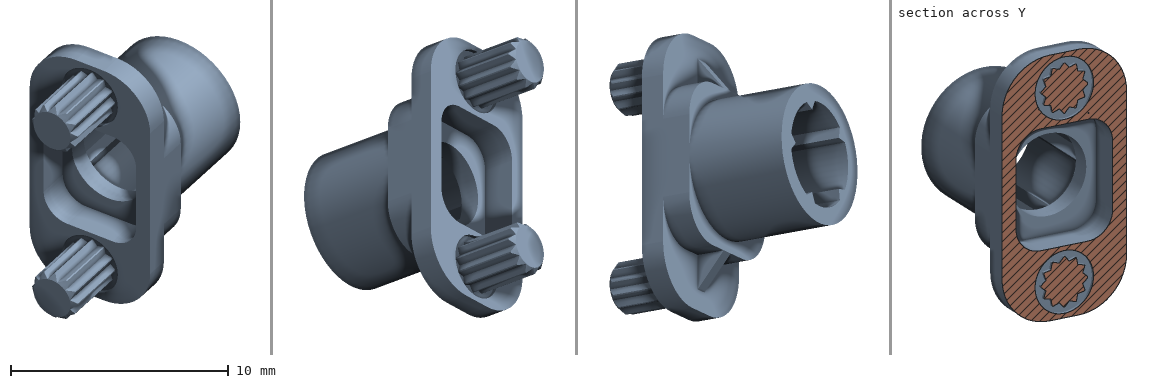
import cadquery as cq
import math

plate_width = 6.6
plate_height = 13.08
plate_thickness = 1.15
plate_corner_radius = 2.54

body_height = 7.77
body_thickness = 1.41
body_corner_radius = 2.01
body_back = plate_thickness + body_thickness

tube_diameter = plate_width
tube_length = 4.98
bore_diameter = 4.05
socket_radius = 2.49
ridge_tip_radius = 2.08
ridge_count = 5

pocket_width = 5.08
pocket_height = 5.96
pocket_depth = 1.6
pocket_corner_radius = 1.3

rib_width = 0.59
rib_reach = 1.65

pin_spacing = 9.52
pin_length = 3.17
pin_diameter = 2.5
pin_tip_radius = pin_diameter / 2
pin_valley_radius = 1.02
pin_end_radius = 1.01
tooth_count = 12
tooth_tip_width = 0.07
recess_diameter = 3.06
recess_depth = 0.21


def round_bar(radius, start, length):
    """Cylinder along Y, from Y = start to Y = start + length."""
    return cq.Workplane("XZ", origin=(0, start, 0)).circle(radius).extrude(-length)


def rounded_block(width, height, corner_radius, start, length):
    """Block along Y with its four long edges rounded."""
    block = cq.Workplane("XZ", origin=(0, start, 0)).rect(width, height).extrude(-length)
    return block.edges("|Y").fillet(corner_radius)


def rib():
    """Sloping web on the upper end of the body, from the flange back to the body back."""
    body_top = body_height / 2
    profile = [
        (plate_thickness, 0),
        (plate_thickness, body_top + rib_reach),
        (body_back, body_top),
        (body_back, 0),
    ]
    return cq.Workplane("YZ").polyline(profile).close().extrude(rib_width / 2, both=True)


def tube_socket():
    """Space inside the tube: a cylinder less evenly spaced 90 degree ridges that point at the axis."""
    socket = round_bar(socket_radius, body_back, tube_length)
    ridge_height = socket_radius - ridge_tip_radius
    ridge_profile = [
        (ridge_tip_radius, 0),
        (socket_radius, ridge_height),
        (socket_radius, -ridge_height),
    ]
    socket_floor = cq.Workplane("XZ", origin=(0, body_back, 0))
    ridge = socket_floor.polyline(ridge_profile).close().extrude(-tube_length)
    for index in range(ridge_count):
        angle = index * 360 / ridge_count
        socket = socket.cut(ridge.rotate((0, 0, 0), (0, 1, 0), angle))
    return socket


def splined_pin():
    """Toothed pin from the recess floor to its free end, with a conical chamfer at that end."""
    half_tip_angle = tooth_tip_width / 2 / pin_tip_radius
    pitch_angle = 2 * math.pi / tooth_count
    outline = []
    for tooth in range(tooth_count):
        middle = tooth * pitch_angle
        corners = [
            (pin_tip_radius, middle - half_tip_angle),
            (pin_tip_radius, middle + half_tip_angle),
            (pin_valley_radius, middle + pitch_angle / 2),
        ]
        for radius, angle in corners:
            outline.append((radius * math.cos(angle), radius * math.sin(angle)))
    overall_length = pin_length + recess_depth
    root_plane = cq.Workplane("XZ", origin=(0, recess_depth, 0))
    toothed_bar = root_plane.polyline(outline).close().extrude(overall_length)
    envelope = round_bar(pin_tip_radius, -pin_length, overall_length)
    envelope = envelope.faces("<Y").chamfer(pin_tip_radius - pin_end_radius)
    return toothed_bar.intersect(envelope)


plate = rounded_block(plate_width, plate_height, plate_corner_radius, 0, plate_thickness)
body = rounded_block(plate_width, body_height, body_corner_radius, plate_thickness, body_thickness)
tube = round_bar(tube_diameter / 2, body_back, tube_length)
upper_rib = rib()
lower_rib = upper_rib.mirror("XY")
result = plate.union(body).union(tube).union(upper_rib).union(lower_rib)

pocket = rounded_block(pocket_width, pocket_height, pocket_corner_radius, 0, pocket_depth)
bore = round_bar(bore_diameter / 2, 0, body_back)
result = result.cut(pocket).cut(bore).cut(tube_socket())

pin = splined_pin()
recess = round_bar(recess_diameter / 2, 0, recess_depth)
for pin_height in (-pin_spacing / 2, pin_spacing / 2):
    position = (0, 0, pin_height)
    result = result.cut(recess.translate(position)).union(pin.translate(position))